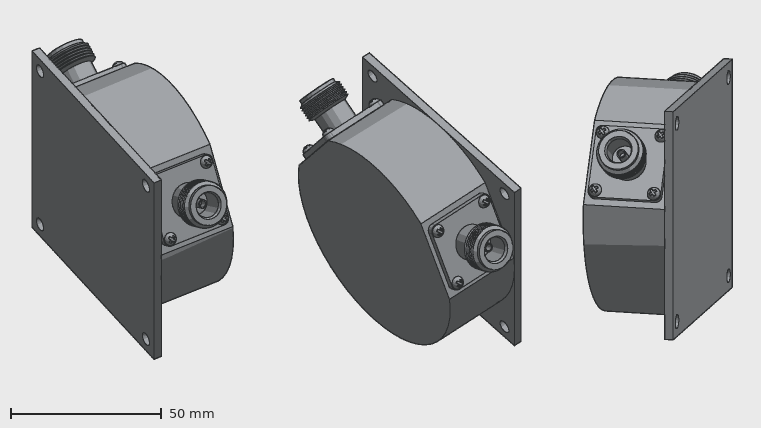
import cadquery as cq
import math

PLATE_SIDE = 78.0
PLATE_THICKNESS = 3.0
TOTAL_DEPTH = 31.0
MOUNT_HOLE_DIAMETER = 4.6
MOUNT_HOLE_SPACING = 67.7
DRUM_RADIUS = PLATE_SIDE / 2

FLAT_ANGLE = 30
FLAT_DISTANCE = 36.1
DRUM_MID_DEPTH = (PLATE_THICKNESS + TOTAL_DEPTH) / 2

FLANGE_SIDE = 24.9
FLANGE_THICKNESS = 2.1
FLANGE_CORNER_RADIUS = 2.2

TIP_HEIGHT = 17.1
BARREL_RADIUS = 6.0
COLLAR_RADIUS = 6.7
COLLAR_LENGTH = 1.3
THREAD_RADIUS = 7.9
THREAD_DEPTH = 0.6
THREAD_PITCH = 1.0
THREAD_COUNT = 6
LEAD_IN_LENGTH = 0.9
FIRST_CREST_HEIGHT = TIP_HEIGHT - COLLAR_LENGTH - LEAD_IN_LENGTH
THREAD_RUNOUT_LENGTH = 0.9

MOUTH_RADIUS = 4.7
MOUTH_DEPTH = 1.1
BORE_RADIUS = 4.2
BORE_DEPTH = 9.4
PIN_RADIUS = 1.5
PIN_RECESS = 4.5
PIN_HOLE_RADIUS = 1.1
PIN_HOLE_DEPTH = 3.0

SCREW_SPACING = 20.1
HEAD_RADIUS = 2.2
HEAD_HEIGHT = 1.8
RECESS_LENGTH = 2.6
RECESS_WIDTH = 0.8
RECESS_DEPTH = 0.7
RECESS_ANGLE = 40


def make_housing():
    """Square base plate with four mounting holes and a drum cut by two flats."""
    plate = (
        cq.Workplane("XZ")
        .rect(PLATE_SIDE, PLATE_SIDE)
        .extrude(-PLATE_THICKNESS)
    )
    drum = (
        cq.Workplane("XZ", origin=(0, PLATE_THICKNESS, 0))
        .circle(DRUM_RADIUS)
        .extrude(PLATE_THICKNESS - TOTAL_DEPTH)
    )
    for side in (-1, 1):
        flat = flat_plane(side)
        drum = drum.cut(cq.Workplane(flat).rect(PLATE_SIDE, PLATE_SIDE).extrude(DRUM_RADIUS))
    holes = (
        cq.Workplane("XZ")
        .rect(MOUNT_HOLE_SPACING, MOUNT_HOLE_SPACING, forConstruction=True)
        .vertices()
        .circle(MOUNT_HOLE_DIAMETER / 2)
        .extrude(-PLATE_THICKNESS)
    )
    return plate.cut(holes).union(drum)


def flat_plane(side):
    """Plane on a drum flat: local Z points outward, local X runs along the drum axis."""
    angle = math.radians(FLAT_ANGLE)
    normal = cq.Vector(side * math.cos(angle), 0, math.sin(angle))
    centre = normal * FLAT_DISTANCE + cq.Vector(0, DRUM_MID_DEPTH, 0)
    return cq.Plane(origin=centre, xDir=(0, 1, 0), normal=normal)


def make_barrel():
    """Revolved barrel with a tip collar and ring-shaped thread crests."""
    outline = [
        (0, 0),
        (0, TIP_HEIGHT),
        (COLLAR_RADIUS, TIP_HEIGHT),
        (COLLAR_RADIUS, TIP_HEIGHT - COLLAR_LENGTH),
    ]
    for i in range(THREAD_COUNT):
        crest = FIRST_CREST_HEIGHT - i * THREAD_PITCH
        if i > 0:
            outline.append((THREAD_RADIUS - THREAD_DEPTH, crest + THREAD_PITCH / 2))
        outline.append((THREAD_RADIUS, crest))
    outline.append((BARREL_RADIUS, crest - THREAD_RUNOUT_LENGTH))
    outline.append((BARREL_RADIUS, 0))
    return revolve(outline)


def make_socket():
    """Cavity of the connector: tapered mouth and bore around a hollow contact pin."""
    floor = TIP_HEIGHT - BORE_DEPTH
    pin_end = TIP_HEIGHT - PIN_RECESS
    pin_hole_floor = pin_end - PIN_HOLE_DEPTH
    return revolve(
        [
            (0, TIP_HEIGHT),
            (MOUTH_RADIUS, TIP_HEIGHT),
            (BORE_RADIUS, TIP_HEIGHT - MOUTH_DEPTH),
            (BORE_RADIUS, floor),
            (PIN_RADIUS, floor),
            (PIN_RADIUS, pin_end),
            (PIN_HOLE_RADIUS, pin_end),
            (PIN_HOLE_RADIUS, pin_hole_floor),
            (0, pin_hole_floor),
        ]
    )


def revolve(outline):
    """Turn a (radius, height) outline about the Z axis."""
    return cq.Workplane("XZ").polyline(outline).close().revolve(360, (0, 0), (0, 1))


def make_screw_head():
    """Spherical cap on the flange with a cross recess in its crown."""
    sphere_radius = (HEAD_RADIUS**2 + HEAD_HEIGHT**2) / (2 * HEAD_HEIGHT)
    crown = FLANGE_THICKNESS + HEAD_HEIGHT
    head = cq.Workplane("XY", origin=(0, 0, crown - sphere_radius)).sphere(sphere_radius)
    below = (
        cq.Workplane("XY", origin=(0, 0, FLANGE_THICKNESS))
        .circle(2 * HEAD_RADIUS)
        .extrude(-2 * sphere_radius)
    )
    head = head.cut(below)
    for angle in (RECESS_ANGLE, RECESS_ANGLE + 90):
        slot = (
            cq.Workplane("XY", origin=(0, 0, crown - RECESS_DEPTH))
            .rect(RECESS_LENGTH, RECESS_WIDTH)
            .extrude(RECESS_DEPTH)
            .rotate((0, 0, 0), (0, 0, 1), angle)
        )
        head = head.cut(slot)
    return head


def make_connector(side):
    """Flanged connector with its screws, seated on one drum flat."""
    connector = (
        cq.Workplane("XY")
        .rect(FLANGE_SIDE, FLANGE_SIDE)
        .extrude(FLANGE_THICKNESS)
        .edges("|Z")
        .fillet(FLANGE_CORNER_RADIUS)
        .union(make_barrel())
        .cut(make_socket())
    )
    head = make_screw_head()
    half = SCREW_SPACING / 2
    for x in (-half, half):
        for y in (-half, half):
            connector = connector.union(head.translate((x, y, 0)))
    return connector.val().moved(cq.Location(flat_plane(side)))


housing = make_housing()
connectors = [make_connector(side) for side in (-1, 1)]

result = cq.Compound.makeCompound([housing.val(), *connectors])